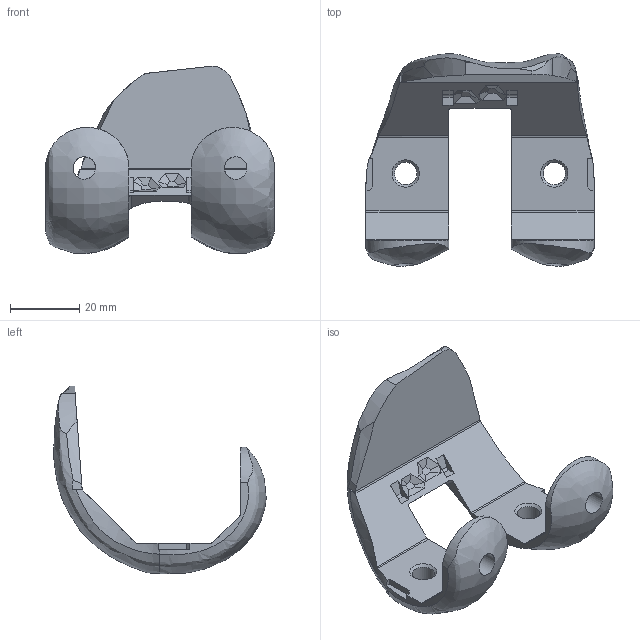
import cadquery as cq
import math


half_width = 33.02
condyle_x = 21.9

posterior_cut_y = -23.3
posterior_cut_z = 8.0
distal_back_y = -15.1
distal_front_y = 6.8
flange_foot_y = 22.4
flange_foot_z = 15.6
flange_top_y = 24.6
flange_top_z = 45.46
cut_corner_radius = 0.7
clear = 60.0

notch_half_width = 9.05
notch_front_y = 14.9
notch_corner_radius = 0.9

condyle_round_radius = 12.15
condyle_round_z = 15.6

hole_diameter = 6.5
posterior_hole_z = 16.0
peg_hole_x = 21.5
peg_hole_y = -4.0
peg_countersink_diameter = 7.9

grip_slot_front_y = 0.4
grip_slot_back_y = -8.8
grip_slot_depth = 1.95
grip_slot_height = 1.8
grip_slot_corner = 0.9

clip_recess_width = 3.1
clip_recess_x = 9.3
clip_front_y = 20.1
clip_back_y = 15.7
clip_root_y = 18.6
clip_root_radius = 0.9
pocket_depth = 1.25
pocket_floor_scale = 0.35

flange_lip = 1.1
flange_bevel_rise = 2.1
flange_bevel_run = 2.5

fan_axis_z = 13.0
fan_inner_radius = 9.0

stations = [
    (-132, 27.3, -half_width, -condyle_x, 0.0, half_width, 7.6, 1.0, 3.6),
    (-118, 29.4, -half_width, -condyle_x, 0.0, half_width, 7.6, 1.0, 4.2),
    (-100, 30.8, -half_width, -condyle_x, 0.0, half_width, 7.6, 1.0, 4.9),
    (-80, 30.3, -half_width, -condyle_x, 0.0, half_width, 8.0, 1.0, 5.3),
    (-55, 27.3, -half_width, -condyle_x, 0.0, half_width, 8.0, 1.0, 5.5),
    (-25, 23.4, -half_width, -condyle_x, 0.0, half_width, 8.0, 1.0, 5.6),
    (0, 21.75, -32.2, -condyle_x, 0.0, 32.6, 8.0, 1.0, 5.6),
    (20, 21.55, -30.2, -20.5, 0.0, 31.3, 8.0, 1.2, 5.2),
    (40, 22.0, -28.2, -18.5, 0.0, 30.2, 8.0, 1.8, 4.6),
    (60, 23.8, -26.3, -16.0, 0.5, 29.2, 7.4, 1.7, 4.6),
    (80, 26.5, -25.0, -13.0, 2.0, 28.6, 5.8, 1.5, 5.0),
    (100, 30.3, -22.6, -10.5, 5.0, 27.9, 4.6, 1.5, 5.2),
    (115, 33.8, -19.2, -9.0, 7.0, 26.6, 3.4, 1.4, 4.8),
    (130, 38.9, -14.6, -7.5, 8.0, 24.8, 2.9, 1.4, 3.6),
    (139, 42.6, -11.8, -5.5, 8.3, 24.0, 2.3, 1.4, 2.6),
    (148, 47.5, -9.5, -3.5, 8.5, 23.5, 1.6, 1.4, 1.6),
]
lowest = 6
right_crest_inset = 3.0

shoulder_shape = [(0.0, 1.0), (0.09, 0.55), (0.27, 0.33), (0.55, 0.12)]
groove_steps = 5


def shoulder(edge_x, crest_x, radius, drop):
    return [(edge_x + share * (crest_x - edge_x), radius - fall * drop) for share, fall in shoulder_shape]


def groove_flank(crest_x, groove_x, radius, depth, flatness):
    points = []
    for step in range(groove_steps):
        share = step / groove_steps
        remaining = (1 + math.cos(math.pi * share)) / 2
        fall = depth * (1 - remaining**flatness)
        points.append((crest_x + share * (groove_x - crest_x), radius - fall))
    return points


def fan_profile(station):
    _, radius, left_x, left_crest_x, groove_x, right_x, depth, flatness, edge_drop = station
    right_crest_x = min(condyle_x, right_x - right_crest_inset)
    left = shoulder(left_x, left_crest_x, radius, edge_drop)
    left += groove_flank(left_crest_x, groove_x, radius, depth, flatness)
    right = shoulder(right_x, right_crest_x, radius, edge_drop)
    right += groove_flank(right_crest_x, groove_x, radius, depth, flatness)
    return left + [(groove_x, radius - depth)] + right[::-1]


curve_parameters = [x + half_width for x, _ in fan_profile(stations[0])]


def fan_section(station):
    turn = math.radians(station[0])
    outward = cq.Vector(0, math.sin(turn), -math.cos(turn))
    plane = cq.Plane(origin=(0, 0, fan_axis_z), xDir=(1, 0, 0), normal=cq.Vector(1, 0, 0).cross(outward))
    profile = fan_profile(station)
    left_x = profile[0][0]
    right_x = profile[-1][0]
    outline = (
        cq.Workplane(plane)
        .moveTo(left_x, fan_inner_radius)
        .lineTo(*profile[0])
        .spline(profile[1:], includeCurrent=True, parameters=curve_parameters)
        .lineTo(right_x, fan_inner_radius)
        .close()
    )
    return outline.val()


def make_bearing_body(fan):
    return cq.Workplane(cq.Solid.makeLoft([fan_section(station) for station in fan]))


def make_bone_cut():
    flange_slope = (flange_top_y - flange_foot_y) / (flange_top_z - flange_foot_z)
    corners = [
        (posterior_cut_y, clear),
        (posterior_cut_y, posterior_cut_z),
        (distal_back_y, 0),
        (distal_front_y, 0),
        (flange_foot_y, flange_foot_z),
        (flange_foot_y + flange_slope * (clear - flange_foot_z), clear),
    ]
    prism = cq.Workplane("YZ").polyline(corners).close().extrude(clear, both=True)
    return prism.edges("|X").edges("<Z or (not >Z)").fillet(cut_corner_radius)


def make_flange_outline():
    return (
        cq.Workplane("XZ", origin=(0, clear, 0))
        .moveTo(-22.8, flange_foot_z)
        .threePointArc((-15.4, 33.0), (-4.3, 43.35))
        .lineTo(15.0, flange_top_z)
        .threePointArc((18.6, 44.2), (21.0, 40.7))
        .threePointArc((25.1, 31.0), (28.0, flange_foot_z))
        .lineTo(28.0, 10)
        .lineTo(-22.8, 10)
        .close()
        .extrude(clear)
    )


def make_condyle_outline(side):
    centre_x = side * (half_width + notch_half_width) / 2
    return (
        cq.Workplane("XZ")
        .center(centre_x, condyle_round_z)
        .circle(condyle_round_radius)
        .extrude(clear)
    )


def make_flange_trim():
    block = cq.Workplane().box(2 * clear, clear, clear, centered=(True, False, False))
    return block.translate((0, 0, flange_foot_z)).cut(make_flange_outline())


def make_condyle_trim():
    block = cq.Workplane().box(2 * clear, clear, clear, centered=(True, False, False))
    block = block.translate((0, -clear, condyle_round_z))
    for side in (-1, 1):
        block = block.cut(make_condyle_outline(side))
    return block


def chamfer_height(y):
    return flange_foot_z * (y - distal_front_y) / (flange_foot_y - distal_front_y)


def make_notch():
    slope = flange_foot_z / (flange_foot_y - distal_front_y)
    rim_z = chamfer_height(notch_front_y)
    notch = (
        cq.Workplane("YZ")
        .polyline([
            (-clear, -clear),
            (notch_front_y + slope * (rim_z + clear), -clear),
            (notch_front_y + slope * (rim_z - clear), clear),
            (-clear, clear),
        ])
        .close()
        .extrude(notch_half_width, both=True)
    )
    return notch.faces(">(0, 1, 1)").edges("not |X").fillet(notch_corner_radius)


def make_flange_bevel():
    lip_y = flange_top_y + flange_lip
    return (
        cq.Workplane("YZ")
        .polyline([
            (lip_y, flange_top_z),
            (lip_y + 2 * flange_bevel_run, flange_top_z - 2 * flange_bevel_rise),
            (lip_y + 2 * flange_bevel_run, flange_top_z),
        ])
        .close()
        .extrude(clear, both=True)
    )


def make_posterior_hole(side):
    return (
        cq.Workplane("XZ")
        .center(side * condyle_x, posterior_hole_z)
        .circle(hole_diameter / 2)
        .extrude(clear)
    )


def make_peg_hole(side):
    sink = (peg_countersink_diameter - hole_diameter) / 2
    hole = cq.Workplane().circle(hole_diameter / 2).extrude(-clear)
    cone = (
        cq.Workplane()
        .circle(peg_countersink_diameter / 2)
        .workplane(offset=-sink)
        .circle(hole_diameter / 2)
        .loft()
    )
    return hole.union(cone).translate((side * peg_hole_x, peg_hole_y, 0))


def make_grip_slot(side):
    inner_x = side * (half_width - grip_slot_depth)
    outer_x = side * clear
    return (
        cq.Workplane()
        .moveTo(outer_x, grip_slot_front_y)
        .lineTo(inner_x, grip_slot_front_y)
        .lineTo(inner_x, grip_slot_back_y + grip_slot_corner)
        .lineTo(inner_x + side * grip_slot_corner, grip_slot_back_y)
        .lineTo(outer_x, grip_slot_back_y)
        .close()
        .extrude(-grip_slot_height)
    )


def make_clip_recess(side):
    back_z = chamfer_height(clip_back_y)
    front_z = chamfer_height(clip_front_y)
    wedge = (
        cq.Workplane("YZ", origin=(side * clip_recess_x, 0, 0))
        .polyline([
            (clip_back_y, back_z),
            (clip_root_y, back_z),
            (clip_front_y, front_z),
            (clip_back_y, front_z),
        ])
        .close()
        .extrude(clip_recess_width / 2, both=True)
    )
    root = cq.selectors.NearestToPointSelector((side * clip_recess_x, clip_root_y, back_z))
    return wedge.edges(root).fillet(clip_root_radius)


def make_pocket(centre_x, centre_y, plan):
    slope = math.atan2(flange_foot_z, flange_foot_y - distal_front_y)
    plane = cq.Plane(
        origin=(centre_x, centre_y, chamfer_height(centre_y)),
        xDir=(1, 0, 0),
        normal=(0, -math.sin(slope), math.cos(slope)),
    )
    mouth = [(x - centre_x, (y - centre_y) / math.cos(slope)) for x, y in plan]
    floor = [(pocket_floor_scale * u, pocket_floor_scale * v) for u, v in mouth]
    return (
        cq.Workplane(plane)
        .polyline(mouth)
        .close()
        .workplane(offset=-pocket_depth)
        .polyline(floor)
        .close()
        .loft(ruled=True)
    )


left_pocket_plan = [(-7.7, 16.1), (-1.0, 16.1), (0.1, 17.1), (-2.6, 20.0), (-6.4, 20.0), (-7.7, 18.9)]
right_pocket_plan = [(0.6, 17.1), (6.9, 17.1), (7.7, 18.6), (5.4, 21.3), (1.5, 21.3), (-0.5, 18.8)]

bone_cut = make_bone_cut()
notch = make_notch()
front = make_bearing_body(stations[lowest:]).cut(make_flange_trim(), clean=False)
front = front.cut(bone_cut, clean=False).cut(notch, clean=False)
back = make_bearing_body(stations[: lowest + 1]).cut(make_condyle_trim(), clean=False)
back = back.cut(bone_cut, clean=False).cut(notch, clean=False)
result = front.union(back)

details = make_flange_bevel()
for side in (-1, 1):
    details.add(make_posterior_hole(side))
    details.add(make_peg_hole(side))
    details.add(make_grip_slot(side))
    details.add(make_clip_recess(side))
details.add(make_pocket(-3.9, 18.0, left_pocket_plan))
details.add(make_pocket(3.5, 18.9, right_pocket_plan))
result = result.cut(details)